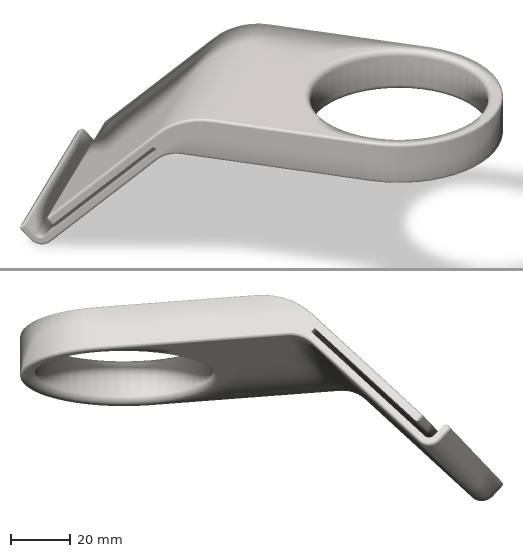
import cadquery as cq
import math

total_length = 158.0
width = 70.0
thickness = 15.0
hole_diameter = 60.0
rim_fillet = 2.0
edge_fillet = 1.0

ring_radius = width / 2
ring_center_x = total_length - ring_radius
joint_x = ring_center_x - ring_radius

slope = math.radians(45)
upper_bend_radius = 27.7
lower_bend_radius = 12.6
upper_bend_end_x = 67.6

upper_plate = 3.0
slot_gap = 1.7
lower_plate = 2.7
slot_floor = upper_plate + slot_gap
clip_depth = slot_floor + lower_plate

slot_end = 4.5
upper_plate_end = 55.0
hook_outside = 65.5
hook_inside = hook_outside - lower_plate

hook_outer_radius = 5.0
hook_inner_radius = hook_outer_radius - lower_plate
hook_rise = 3.2

slope_start_x = upper_bend_end_x - upper_bend_radius * math.sin(slope)
slope_start_z = thickness - upper_bend_radius * (1 - math.cos(slope))

clip_drop = clip_depth / math.cos(slope)
corner_x = slope_start_x + (clip_drop - slope_start_z) / math.tan(slope)
lower_tangent = lower_bend_radius * math.tan(slope / 2)
lower_bend_end_x = corner_x + lower_tangent


def on_slope(distance, depth):
    """XZ point at a distance down the slope and a depth below its top surface."""
    x = slope_start_x - distance * math.cos(slope) + depth * math.sin(slope)
    z = slope_start_z - distance * math.sin(slope) - depth * math.cos(slope)
    return (x, z)


def slope_position(point):
    """Distance down the slope and depth below its top surface of a 3D point."""
    dx = point.x - slope_start_x
    dz = point.z - slope_start_z
    distance = -dx * math.cos(slope) - dz * math.sin(slope)
    depth = dx * math.sin(slope) - dz * math.cos(slope)
    return distance, depth


def bend_point(end_x, end_z, radius):
    """Middle point of a bend that ends level at the given point."""
    half = slope / 2
    return (end_x - radius * math.sin(half), end_z - radius * (1 - math.cos(half)))


def hook_arc_middle(radius):
    """Middle point of a quarter arc round the hook bend centre."""
    center_distance = hook_outside - hook_outer_radius
    center_depth = clip_depth - hook_outer_radius
    offset = radius * math.sqrt(0.5)
    return on_slope(center_distance + offset, center_depth + offset)


def is_rounded(edge):
    """True for the outer outline and the plate ends, false for slot, hook inside and joint."""
    center = edge.Center()
    distance, depth = slope_position(center)
    tolerance = 0.01
    if edge.geomType() == "LINE" and abs(edge.tangentAt(0).y) > 1 - tolerance:
        at_plate_end = abs(distance - upper_plate_end) < tolerance
        at_hook_tip = abs(depth + hook_rise) < tolerance
        return at_plate_end or at_hook_tip
    on_joint = abs(center.x - joint_x) < tolerance
    in_slot = abs(distance - slot_end) < tolerance and upper_plate < depth < slot_floor
    on_slot_side = min(abs(depth - upper_plate), abs(depth - slot_floor)) < tolerance
    inside_hook = abs(distance - hook_inside) < tolerance
    hook_arc = edge.geomType() == "CIRCLE" and abs(edge.radius() - hook_inner_radius) < tolerance
    return not (on_joint or in_slot or on_slot_side or inside_hook or hook_arc)


def make_arm():
    """Bent arm with the slotted clip and the hook at its lower end."""
    blank = (
        cq.Workplane("XZ")
        .moveTo(joint_x, thickness)
        .lineTo(upper_bend_end_x, thickness)
        .threePointArc(
            bend_point(upper_bend_end_x, thickness, upper_bend_radius),
            (slope_start_x, slope_start_z),
        )
        .lineTo(*on_slope(upper_plate_end, 0))
        .lineTo(*on_slope(upper_plate_end, upper_plate))
        .lineTo(*on_slope(slot_end, upper_plate))
        .lineTo(*on_slope(slot_end, slot_floor))
        .lineTo(*on_slope(hook_inside - hook_inner_radius, slot_floor))
        .threePointArc(
            hook_arc_middle(hook_inner_radius),
            on_slope(hook_inside, slot_floor - hook_inner_radius),
        )
        .lineTo(*on_slope(hook_inside, -hook_rise))
        .lineTo(*on_slope(hook_outside, -hook_rise))
        .lineTo(*on_slope(hook_outside, clip_depth - hook_outer_radius))
        .threePointArc(
            hook_arc_middle(hook_outer_radius),
            on_slope(hook_outside - hook_outer_radius, clip_depth),
        )
        .lineTo(
            corner_x - lower_tangent * math.cos(slope),
            -lower_tangent * math.sin(slope),
        )
        .threePointArc(
            bend_point(lower_bend_end_x, 0, lower_bend_radius),
            (lower_bend_end_x, 0),
        )
        .lineTo(joint_x, 0)
        .close()
        .extrude(width / 2, both=True)
    )
    return blank.newObject(blank.edges().filter(is_rounded).vals()).fillet(edge_fillet)


def make_ring():
    """Ring with a straight-sided base that meets the arm at the joint."""
    body = (
        cq.Workplane("XY")
        .moveTo(joint_x, -ring_radius)
        .lineTo(ring_center_x, -ring_radius)
        .threePointArc((total_length, 0), (ring_center_x, ring_radius))
        .lineTo(joint_x, ring_radius)
        .close()
        .extrude(thickness)
    )
    body = body.faces("<Z or >Z").edges("not <X").fillet(edge_fillet)
    hole = cq.Workplane("XY").center(ring_center_x, 0).circle(hole_diameter / 2).extrude(thickness)
    body = body.cut(hole)
    rims = cq.selectors.RadiusNthSelector(0)
    return body.faces("<Z or >Z").edges("%CIRCLE").edges(rims).fillet(rim_fillet)


arm = make_arm()
ring = make_ring()
result = cq.Compound.makeCompound([arm.val(), ring.val()])